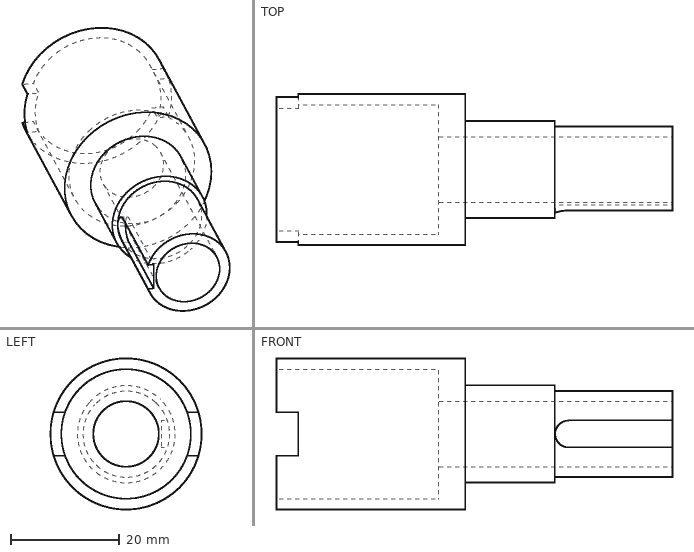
import cadquery as cq

total_length = 73.3
body_length = 35.0
collar_length = 16.6
body_diameter = 28.0
collar_diameter = 18.0
shaft_diameter = 16.0

socket_diameter = 24.0
socket_floor = 5.0
bore_diameter = 12.1

notch_width = 8.0
notch_depth = 4.0

key_width = 5.0
key_depth = 1.5
key_clearance = 0.04

shaft_start = body_length + collar_length
shaft_length = total_length - shaft_start


def cylinder(diameter, start, length):
    """Solid cylinder on the X axis."""
    return cq.Workplane("YZ").workplane(offset=start).circle(diameter / 2).extrude(length)


def drive_notch():
    """Slot across the rim, cutting both the -Y and +Y walls."""
    return cq.Workplane("XY").box(
        notch_depth, body_diameter, notch_width, centered=(False, True, True)
    )


def keyway():
    """Flat-bottomed keyway on the -Y side: round at the collar, open at the shaft end."""
    key_radius = key_width / 2
    key_start = shaft_start + key_clearance
    round_center = key_start + key_radius
    floor_y = -(shaft_diameter / 2 - key_depth)
    return (
        cq.Workplane("XZ", origin=(0, floor_y, 0))
        .moveTo(total_length, key_radius)
        .lineTo(round_center, key_radius)
        .threePointArc((key_start, 0), (round_center, -key_radius))
        .lineTo(total_length, -key_radius)
        .close()
        .extrude(key_depth)
    )


sleeve = cylinder(body_diameter, 0, body_length)
sleeve = sleeve.union(cylinder(collar_diameter, body_length, collar_length))
sleeve = sleeve.union(cylinder(shaft_diameter, shaft_start, shaft_length))

sleeve = sleeve.cut(cylinder(socket_diameter, 0, body_length - socket_floor))
sleeve = sleeve.cut(cylinder(bore_diameter, 0, total_length))

result = sleeve.cut(drive_notch()).cut(keyway())